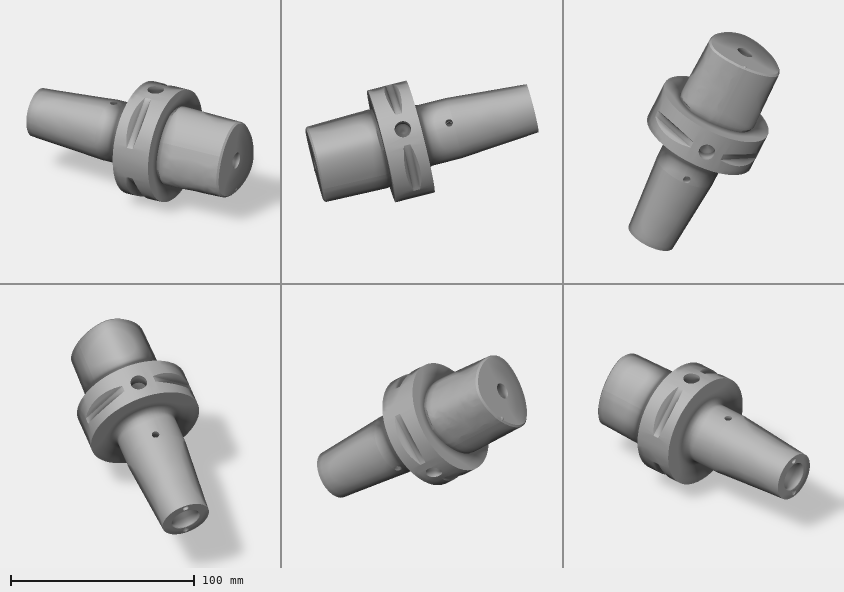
import cadquery as cq
import math

cone_end = 44.5
flange_start = 63.1
flange_end = 85.0
relief_end = 86.2
collar_end = 87.0
taper_start = 88.0
tail_chamfer_start = 121.6
tail_face = 122.6
overall_length = 123.0

nose_diameter = 27.0
neck_diameter = 34.0
neck_fillet = 3.0
flange_diameter = 63.0

bore_diameter = 16.0
bore_depth = 49.2
bore_mouth_diameter = 16.5
coolant_diameter = 9.0

shank_radius = 22.0
collar_radius = 21.9
lobe_height = 1.4
shank_taper = 1 / 20
tail_chamfer = 1.0
relief_radius = 22.4
relief_outer_radius = 23.1
points_per_lobe = 13
lobe_seams = (30, 150, 270)

groove_position = 73.0
groove_floor_radius = 27.7
groove_floor_width = 3.5
groove_wall_width = 4.2
groove_wall_height = 0.5
groove_flank_angle = 30.0
groove_length = 36.9
index_hole_diameter = 9.0
index_hole_depth = 7.4
drill_point_angle = 118.0

channel_offset = 10.8
channel_tilt = 2.0
nozzle_diameter = 3.3
nozzle_depth = 12.3
channel_diameter = 2.0
cross_hole_position = 46.9
cross_hole_diameter = 3.3
plug_diameter = 4.0
plug_seat_radius = 11.1

cut_clearance = 1.2

mark_radius = 1.7
mark_offset = 18.0


def axial_cylinder(diameter, start, end):
    return cq.Workplane("YZ").workplane(offset=start).circle(diameter / 2).extrude(end - start)


def round_body():
    neck_radius = neck_diameter / 2
    fillet_start = flange_start - neck_fillet
    profile = (
        cq.Workplane("XY")
        .moveTo(0, 0)
        .lineTo(0, nose_diameter / 2)
        .lineTo(cone_end, neck_radius)
        .lineTo(fillet_start, neck_radius)
        .radiusArc((flange_start, neck_radius + neck_fillet), -neck_fillet)
        .lineTo(flange_start, flange_diameter / 2)
        .lineTo(flange_end, flange_diameter / 2)
        .lineTo(flange_end, 0)
        .close()
    )
    return profile.revolve(360, (0, 0, 0), (1, 0, 0))


def lobe_point(x, radius, angle):
    """Point of the constant-width lobed curve whose outward normal has this angle."""
    support = radius - lobe_height * math.sin(3 * angle)
    slope = -3 * lobe_height * math.cos(3 * angle)
    y = support * math.cos(angle) - slope * math.sin(angle)
    z = support * math.sin(angle) + slope * math.cos(angle)
    return cq.Vector(x, y, z)


def lobed_wire(x, radius):
    """Closed curve of three equal lobes, one of them pointing to +Z."""
    step = 360 / len(lobe_seams) / (points_per_lobe - 1)
    edges = []
    for seam in lobe_seams:
        angles = [math.radians(seam + i * step) for i in range(points_per_lobe)]
        points = [lobe_point(x, radius, angle) for angle in angles]
        tangents = [cq.Vector(0, -math.sin(a), math.cos(a)) for a in (angles[0], angles[-1])]
        edges.append(cq.Edge.makeSpline(points, tangents=tangents))
    return cq.Wire.assembleEdges(edges)


def lobed_section(start, start_radius, end, end_radius):
    wires = [lobed_wire(start, start_radius), lobed_wire(end, end_radius)]
    return cq.Workplane(cq.Solid.makeLoft(wires, True))


def relief_envelope():
    """Turned shape that trims the collar; it only reaches the tips of the lobes."""
    profile = (
        cq.Workplane("XY")
        .moveTo(flange_end, 0)
        .lineTo(flange_end, relief_radius)
        .lineTo(relief_end, relief_radius)
        .lineTo(collar_end, relief_outer_radius)
        .lineTo(collar_end, 0)
        .close()
    )
    return profile.revolve(360, (0, 0, 0), (1, 0, 0))


def shank():
    tail_radius = shank_radius - (tail_chamfer_start - taper_start) * shank_taper / 2
    collar = lobed_section(flange_end, collar_radius, collar_end, collar_radius)
    return (
        collar.intersect(relief_envelope())
        .union(lobed_section(collar_end, shank_radius, taper_start, shank_radius))
        .union(lobed_section(taper_start, shank_radius, tail_chamfer_start, tail_radius))
        .union(lobed_section(tail_chamfer_start, tail_radius, tail_face, tail_radius - tail_chamfer))
    )


def orientation_mark():
    """Ball sunk into the tail face so that only a low cap stands out."""
    return cq.Workplane("XY").sphere(mark_radius).translate((overall_length - mark_radius, 0, -mark_offset))


def axial_bores():
    mouth_chamfer = (bore_mouth_diameter - bore_diameter) / 2
    mouth = cq.Solid.makeCone(
        bore_mouth_diameter / 2, bore_diameter / 2, mouth_chamfer, cq.Vector(0, 0, 0), cq.Vector(1, 0, 0)
    )
    return (
        axial_cylinder(coolant_diameter, 0, overall_length)
        .union(axial_cylinder(bore_diameter, 0, bore_depth))
        .union(mouth)
    )


def gripper_groove():
    """Trapezoidal groove running along Y across the +Z side of the flange."""
    wall_top = groove_floor_radius + groove_wall_height
    rim = flange_diameter / 2 + cut_clearance
    flank_run = (rim - wall_top) * math.tan(math.radians(groove_flank_angle))
    right_side = [
        (groove_floor_width / 2, groove_floor_radius),
        (groove_wall_width / 2, wall_top),
        (groove_wall_width / 2 + flank_run, rim),
    ]
    left_side = [(-width, height) for width, height in reversed(right_side)]
    section = cq.Workplane("XZ").polyline(right_side + left_side).close()
    return section.extrude(groove_length / 2, both=True).translate((groove_position, 0, 0))


def index_hole():
    """Drilled hole with a conical bottom on the +Z side of the flange."""
    radius = index_hole_diameter / 2
    point_height = radius / math.tan(math.radians(drill_point_angle / 2))
    rim = flange_diameter / 2
    shoulder = rim - index_hole_depth
    section = (
        cq.Workplane("XZ")
        .moveTo(0, rim)
        .lineTo(radius, rim)
        .lineTo(radius, shoulder)
        .lineTo(0, shoulder - point_height)
        .close()
    )
    return section.revolve(360, (0, 0, 0), (0, 1, 0)).translate((groove_position, 0, 0))


def nozzle_channel():
    """Stepped channel from the nose face to a plugged cross hole on the +Z side."""
    start = -cut_clearance
    channel = axial_cylinder(nozzle_diameter, start, nozzle_depth).union(
        axial_cylinder(channel_diameter, start, cross_hole_position)
    )
    channel = channel.rotate((0, 0, 0), (0, 1, 0), channel_tilt).translate((0, 0, channel_offset))
    base = cq.Workplane("XY").center(cross_hole_position, 0)
    cross_hole = base.circle(cross_hole_diameter / 2).extrude(neck_diameter / 2)
    plug_seat = (
        base.workplane(offset=plug_seat_radius)
        .circle(plug_diameter / 2)
        .extrude(neck_diameter / 2 - plug_seat_radius)
    )
    return channel.union(cross_hole).union(plug_seat)


def around_axis(shape, angle):
    return shape.rotate((0, 0, 0), (1, 0, 0), angle)


result = round_body().union(shank()).union(orientation_mark()).cut(axial_bores())

for angle in (45, 135, 225, 315):
    result = result.cut(around_axis(gripper_groove(), angle))

for angle in (0, 180):
    result = result.cut(around_axis(index_hole(), angle))
    result = result.cut(around_axis(nozzle_channel(), angle))